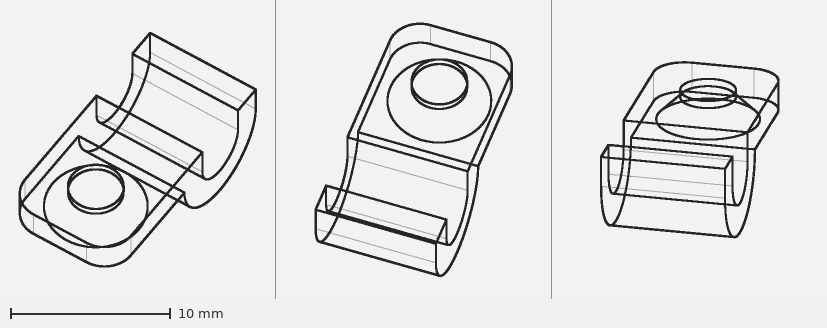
import cadquery as cq

width = 8.0
length = 16.0
thickness = 2.0
channel_radius = 2.0
corner_radius = 2.0
hole_diameter = 3.5
hole_end_distance = 4.0
hole_land = 0.5

outer_radius = channel_radius + thickness
tab_end = outer_radius - length


def clip_and_tab():
    """Open J-shaped clip with a flat tab, extruded across the width."""
    return (
        cq.Workplane("YZ")
        .moveTo(tab_end, 0)
        .lineTo(-outer_radius, 0)
        .threePointArc((0, -outer_radius), (outer_radius, 0))
        .lineTo(outer_radius, thickness)
        .lineTo(channel_radius, thickness)
        .lineTo(channel_radius, 0)
        .threePointArc((0, -channel_radius), (-channel_radius, 0))
        .lineTo(-channel_radius, thickness)
        .lineTo(tab_end, thickness)
        .close()
        .extrude(width / 2, both=True)
    )


def countersunk_hole():
    """Cutter for the tab's through hole, flared by a 90 degree countersink from below."""
    hole_radius = hole_diameter / 2
    sink_depth = thickness - hole_land
    sink_radius = hole_radius + sink_depth
    hole_y = tab_end + hole_end_distance
    return (
        cq.Workplane("XZ", origin=(0, hole_y, 0))
        .lineTo(sink_radius, 0)
        .lineTo(hole_radius, sink_depth)
        .lineTo(hole_radius, thickness)
        .lineTo(0, thickness)
        .close()
        .revolve(360, (0, 0), (0, 1))
    )


body = clip_and_tab().faces("<Y").edges("|Z").fillet(corner_radius)
result = body.cut(countersunk_hole())